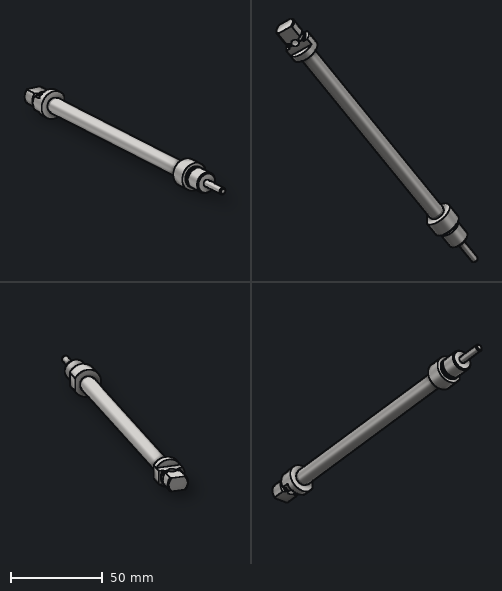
import cadquery as cq

rear_cap_length = 20.3
barrel_length = 128.8
front_cap_length = 20.9
rod_length = 16.0

barrel_radius = 4.65
barrel_end_radius = 4.2
barrel_taper_length = 1.6
rod_radius = 2.0
rod_chamfer = 0.6

collar_radius = 8.0
collar_flat_y = 7.0
thread_radius = 6.0
thread_chamfer = 0.6
relief_radius = 4.9

relief_slope_length = 0.8
shoulder_radius = 6.0
shoulder_length = 0.9

rear_thread_length = 8.2
rear_collar_start = 11.8
tang_thickness = 8.0
tang_length = 16.0
pivot_hole_x = 10.3
pivot_hole_diameter = 4.2

front_collar_length = 8.9
front_relief_end = 11.2

barrel_start = rear_cap_length
front_cap_start = barrel_start + barrel_length
rod_start = front_cap_start + front_cap_length


def revolve_about_axis(profile):
    """Turn a list of (x, radius) corners about the X axis, closing it on the axis."""
    first_x = profile[0][0]
    last_x = profile[-1][0]
    corners = [(first_x, 0)] + profile + [(last_x, 0)]
    return cq.Workplane("XZ").polyline(corners).close().revolve(360, (0, 0, 0), (1, 0, 0))


def cut_collar_flat(body, start_x, length):
    """Mill the flat at collar_flat_y on the +Y side of a collar."""
    waste = cq.Workplane("XY").box(length, collar_radius, 2 * collar_radius, centered=(False, False, True))
    return body.cut(waste.translate((start_x, collar_flat_y, 0)))


def make_rear_cap():
    cap = revolve_about_axis([
        (0, thread_radius - thread_chamfer),
        (thread_chamfer, thread_radius),
        (rear_thread_length, thread_radius),
        (rear_thread_length + relief_slope_length, relief_radius),
        (rear_collar_start - shoulder_length, relief_radius),
        (rear_collar_start - shoulder_length, shoulder_radius),
        (rear_collar_start, shoulder_radius),
        (rear_collar_start, collar_radius),
        (rear_cap_length, collar_radius),
    ])
    cap = cut_collar_flat(cap, 0, rear_cap_length)
    for side in (1, -1):
        waste = cq.Workplane("XY").box(
            tang_length, 2 * collar_radius, collar_radius, centered=(False, True, True)
        )
        cap = cap.cut(waste.translate((0, 0, side * (tang_thickness + collar_radius) / 2)))
    pivot_hole = (
        cq.Workplane("XY")
        .center(pivot_hole_x, 0)
        .circle(pivot_hole_diameter / 2)
        .extrude(collar_radius, both=True)
    )
    return cap.cut(pivot_hole)


def make_barrel():
    return revolve_about_axis([
        (barrel_start, barrel_end_radius),
        (barrel_start + barrel_taper_length, barrel_radius),
        (front_cap_start - barrel_taper_length, barrel_radius),
        (front_cap_start, barrel_end_radius),
    ])


def make_front_cap():
    collar_end = front_cap_start + front_collar_length
    relief_end = front_cap_start + front_relief_end
    cap = revolve_about_axis([
        (front_cap_start, collar_radius),
        (collar_end, collar_radius),
        (collar_end, shoulder_radius),
        (collar_end + shoulder_length, shoulder_radius),
        (collar_end + shoulder_length, relief_radius),
        (relief_end - relief_slope_length, relief_radius),
        (relief_end, thread_radius),
        (rod_start - thread_chamfer, thread_radius),
        (rod_start, thread_radius - thread_chamfer),
    ])
    return cut_collar_flat(cap, front_cap_start, front_cap_length)


def make_rod():
    rod_end = rod_start + rod_length
    return revolve_about_axis([
        (rod_start, rod_radius),
        (rod_end - rod_chamfer, rod_radius),
        (rod_end, rod_radius - rod_chamfer),
    ])


rear_cap = make_rear_cap()
barrel = make_barrel()
front_cap = make_front_cap()
rod = make_rod()

result = cq.Compound.makeCompound([rear_cap.val(), barrel.val(), front_cap.val(), rod.val()])